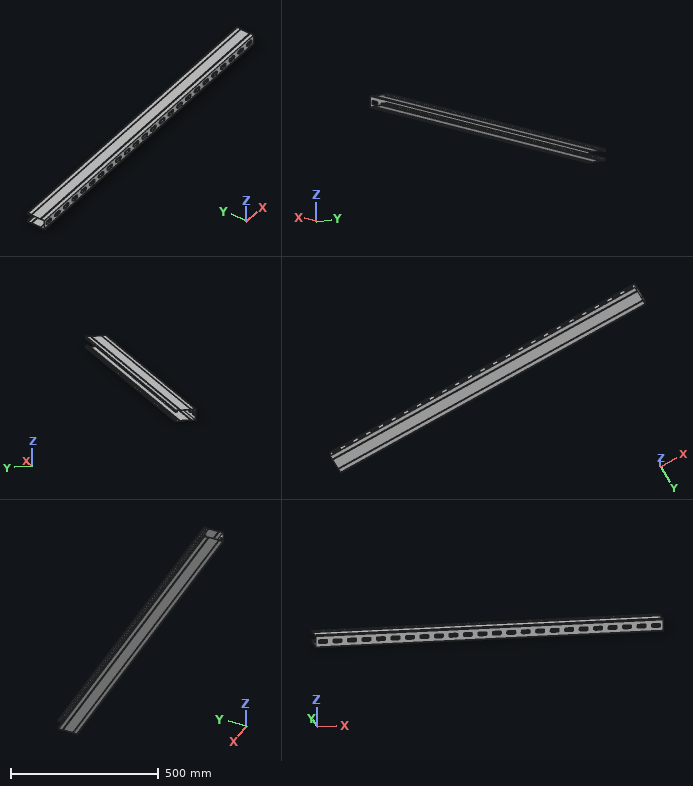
import cadquery as cq

length = 1200.0
depth = 72.0
height = 41.0
sheet = 2.2

lip_height = 8.0
lip_return = 7.0

groove_depth = 1.0
groove_width = 37.0
groove_slope = 0.6

slot_count = 24
slot_pitch = length / slot_count
slot_length = 30.0
slot_width = 13.0

half_depth = depth / 2
half_height = height / 2


def channel_web():
    """Flat web at -Y joining the two side walls."""
    web_centre = sheet / 2 - half_depth
    return cq.Workplane("XY").box(length, sheet, height).translate((0, web_centre, 0))


def upper_wall():
    """Side wall at +Z with its pressed groove and its returned lip, centred along X."""
    groove_edge = groove_width / 2
    groove_floor_edge = groove_edge - groove_slope
    ridge_edge = groove_edge + sheet
    ridge_top_edge = groove_floor_edge + sheet
    outside = half_height
    inside = half_height - sheet
    lip_end = half_height - lip_height
    return_end = half_depth - lip_return
    outline = [
        (-half_depth, outside),
        (-groove_edge, outside),
        (-groove_floor_edge, outside - groove_depth),
        (groove_floor_edge, outside - groove_depth),
        (groove_edge, outside),
        (half_depth, outside),
        (half_depth, lip_end),
        (return_end, lip_end),
        (return_end, lip_end + sheet),
        (half_depth - sheet, lip_end + sheet),
        (half_depth - sheet, inside),
        (ridge_edge, inside),
        (ridge_top_edge, inside - groove_depth),
        (-ridge_top_edge, inside - groove_depth),
        (-ridge_edge, inside),
        (-half_depth, inside),
    ]
    return cq.Workplane("YZ").polyline(outline).close().extrude(length / 2, both=True)


def web_slots():
    """Round-ended cutters through the web, one at the middle of each pitch."""
    return (
        cq.Workplane("XZ", origin=(0, -half_depth, 0))
        .rarray(slot_pitch, 12, slot_count, 1)
        .slot2D(slot_length, slot_width)
        .extrude(sheet, both=True)
    )


wall = upper_wall()
channel = channel_web().union(wall).union(wall.mirror("XY"))
result = channel.cut(web_slots())